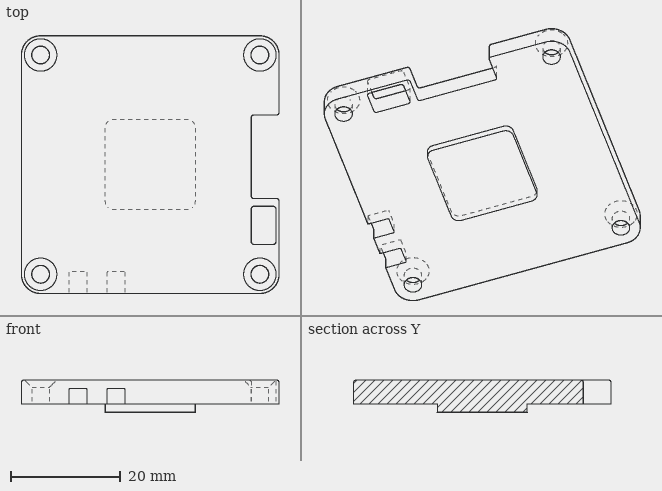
import cadquery as cq

side = 47.0
plate_thickness = 4.4
corner_radius = 3.52
edge_radius = 0.5

boss_side = 16.4
boss_height = 1.5
boss_corner_radius = 1.45

hole_offset = side / 2 - corner_radius
hole_diameter = 3.2
countersink_diameter = 5.9
countersink_angle = 90

notch_depth = 5.08
notch_y_min = -6.15
notch_y_max = 9.02
notch_inner_radius = 0.4
notch_mouth_radius = edge_radius
mouth_tolerance = 0.05

window_wall = 0.6
window_x_max = side / 2 - window_wall
window_x_min = side / 2 - notch_depth
window_y_min = -14.5
window_y_max = -7.6
window_corner_radius = 0.45

slot_width = 3.3
slot_height = 2.8
slot_length = 4.0
slot_edge_radius = 0.2
slot_centers_x = (-13.15, -6.25)


def rectangular_block(x_min, x_max, y_min, y_max, z_min, z_max):
    size = (x_max - x_min, y_max - y_min, z_max - z_min)
    return cq.Workplane("XY").box(*size, centered=False).translate((x_min, y_min, z_min))


def make_plate():
    """Rounded square plate with the notch, its whole top edge rounded."""
    plate = cq.Workplane("XY").rect(side, side).extrude(plate_thickness)
    plate = plate.edges("|Z").fillet(corner_radius)
    notch = rectangular_block(
        side / 2 - notch_depth, side / 2 + notch_depth, notch_y_min, notch_y_max, 0, plate_thickness
    )
    notch = notch.edges("|Z and <X").fillet(notch_inner_radius)
    plate = plate.cut(notch)
    mouth = cq.selectors.BoxSelector(
        (side / 2 - mouth_tolerance, notch_y_min - mouth_tolerance, 0),
        (side / 2 + mouth_tolerance, notch_y_max + mouth_tolerance, plate_thickness),
    )
    plate = plate.edges("|Z").edges(mouth).fillet(notch_mouth_radius)
    return plate.faces(">Z").edges().fillet(edge_radius)


def make_boss():
    boss = cq.Workplane("XY").rect(boss_side, boss_side).extrude(-boss_height)
    return boss.edges("|Z").fillet(boss_corner_radius)


def make_window():
    window = rectangular_block(
        window_x_min, window_x_max, window_y_min, window_y_max, 0, plate_thickness
    )
    return window.edges("|Z").fillet(window_corner_radius)


def make_slot(center_x):
    slot = rectangular_block(
        center_x - slot_width / 2,
        center_x + slot_width / 2,
        -side / 2,
        -side / 2 + slot_length,
        0,
        slot_height,
    )
    inner_edges = slot.edges("(|Z and >Y) or (|Y and >Z) or (|X and >Y and >Z)")
    return inner_edges.fillet(slot_edge_radius)


def drill_screw_holes(body):
    return (
        body.faces(">Z")
        .workplane(origin=(0, 0, plate_thickness))
        .rect(2 * hole_offset, 2 * hole_offset, forConstruction=True)
        .vertices()
        .cskHole(hole_diameter, countersink_diameter, countersink_angle)
    )


result = drill_screw_holes(make_plate())
result = result.union(make_boss())
result = result.cut(make_window())
for slot_center_x in slot_centers_x:
    result = result.cut(make_slot(slot_center_x))